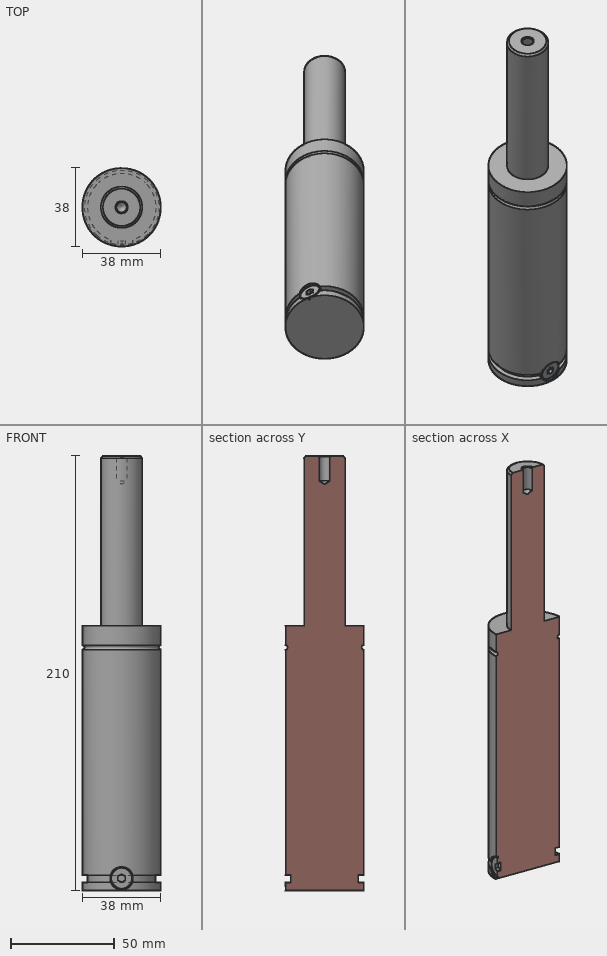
import cadquery as cq
import math

total_height = 210.0
body_diameter = 38.0
body_height = 128.0
rod_diameter = 20.0
rod_chamfer = 1.0

retaining_groove_bottom = 4.0
retaining_groove_width = 3.5
retaining_groove_diameter = 33.0

head_height = 9.5
head_groove_radius = 1.0

rod_hole_diameter = 5.0
rod_hole_depth = 12.0
rod_hole_chamfer = 0.5
drill_point_angle = 118.0

port_height = 6.0
port_diameter = 11.0
port_depth = 1.3
plug_diameter = 10.0
plug_recess = 0.8
socket_across_flats = 3.5
socket_depth = 2.0

body_radius = body_diameter / 2


def make_body():
    """Turned body with a half-round groove below its head and a square groove at its foot."""
    head_groove_top = body_height - head_height
    groove_radius = retaining_groove_diameter / 2
    groove_top = retaining_groove_bottom + retaining_groove_width
    head_groove_bottom = head_groove_top - 2 * head_groove_radius
    head_groove_root = (body_radius - head_groove_radius, head_groove_top - head_groove_radius)
    return (
        cq.Workplane("XZ")
        .lineTo(body_radius, 0)
        .lineTo(body_radius, retaining_groove_bottom)
        .lineTo(groove_radius, retaining_groove_bottom)
        .lineTo(groove_radius, groove_top)
        .lineTo(body_radius, groove_top)
        .lineTo(body_radius, head_groove_bottom)
        .threePointArc(head_groove_root, (body_radius, head_groove_top))
        .lineTo(body_radius, body_height)
        .lineTo(0, body_height)
        .close()
        .revolve(360, (0, 0), (0, 1))
    )


def make_rod():
    """Piston rod with a chamfered end and a chamfered axial hole."""
    rod = (
        cq.Workplane("XY", origin=(0, 0, body_height))
        .circle(rod_diameter / 2)
        .extrude(total_height - body_height)
        .faces(">Z")
        .chamfer(rod_chamfer)
    )
    return rod.cut(make_rod_hole())


def make_rod_hole():
    """Axial hole with a 45 degree entry chamfer and a conical drill point."""
    hole_radius = rod_hole_diameter / 2
    mouth_radius = hole_radius + rod_hole_chamfer
    hole_floor = total_height - rod_hole_depth
    point_height = hole_radius / math.tan(math.radians(drill_point_angle / 2))
    profile = [
        (0, hole_floor - point_height),
        (hole_radius, hole_floor),
        (hole_radius, total_height - rod_hole_chamfer),
        (mouth_radius, total_height),
        (0, total_height),
    ]
    return cq.Workplane("XZ").polyline(profile).close().revolve(360, (0, 0), (0, 1))


def port_cylinder(diameter, inner_distance, outer_distance):
    """Cylinder on the port axis between two distances from the body axis."""
    return (
        cq.Workplane("XZ", origin=(0, -inner_distance, port_height))
        .circle(diameter / 2)
        .extrude(outer_distance - inner_distance)
    )


def make_socket(plug_face):
    """Hexagon socket in the plug face, with two corners on the vertical."""
    across_corners = socket_across_flats / math.cos(math.radians(30))
    return (
        cq.Workplane("XZ", origin=(0, -plug_face, port_height))
        .transformed(rotate=(0, 0, 90))
        .polygon(6, across_corners)
        .extrude(-socket_depth)
    )


def add_port(body):
    """Add the port boss across the groove, the spotface, and the plug with its hexagon socket."""
    boss_root = retaining_groove_diameter / 2 - port_diameter / 2
    port_floor = body_radius - port_depth
    plug_face = body_radius - plug_recess
    boss = port_cylinder(port_diameter, boss_root, port_floor)
    spotface = port_cylinder(port_diameter, port_floor, body_radius)
    plug = port_cylinder(plug_diameter, port_floor, plug_face)
    return body.union(boss).cut(spotface).union(plug).cut(make_socket(plug_face))


result = add_port(make_body()).union(make_rod())